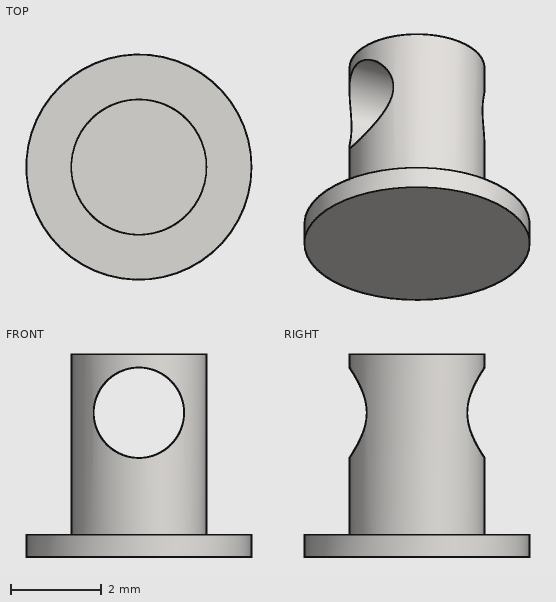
import cadquery as cq

flange_diameter = 5.0
flange_thickness = 0.5

post_diameter = 3.0
post_height = 4.0

cross_hole_diameter = 2.0
cross_hole_height = 2.7


def make_flange():
    return cq.Workplane("XY").circle(flange_diameter / 2).extrude(flange_thickness)


def make_cross_hole():
    """Cylinder along Y, as long as the post is wide, that cuts the hole."""
    return (
        cq.Workplane("XZ")
        .center(0, flange_thickness + cross_hole_height)
        .circle(cross_hole_diameter / 2)
        .extrude(post_diameter / 2, both=True)
    )


def make_post():
    bar = (
        cq.Workplane("XY")
        .workplane(offset=flange_thickness)
        .circle(post_diameter / 2)
        .extrude(post_height)
    )
    return bar.cut(make_cross_hole())


flange = make_flange()
post = make_post()

result = cq.Compound.makeCompound([flange.val(), post.solids().val()])